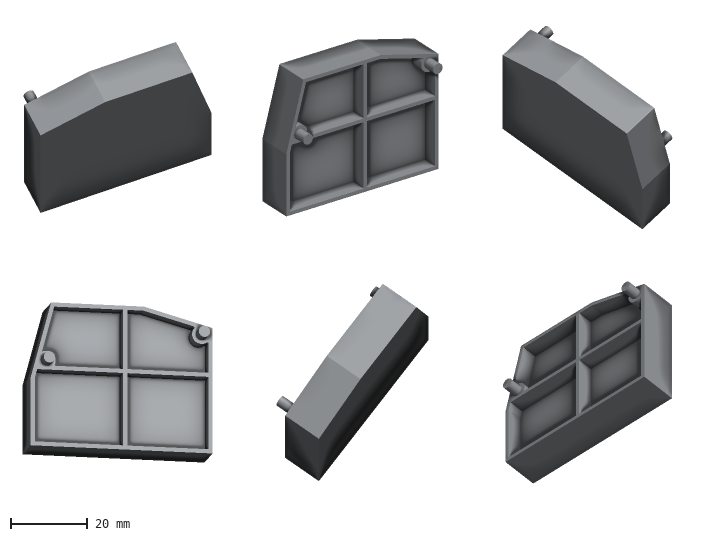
import cadquery as cq
import math

body_thickness = 10.9
body_length = 48.5
body_height = 38.5

slope_angle = math.radians(15)
rear_slope_start_z = 18.2
front_slope_length = 18.35
rear_slope_run = (body_height - rear_slope_start_z) * math.tan(slope_angle)
front_slope_drop = front_slope_length * math.tan(slope_angle)
peak_radius = 0.3

pocket_depth = 4.6
wall = 1.1
upright_rib_y = 23.3
level_rib_z = 21.02

pin_radius = 1.5
pin_length = 4.0
boss_radius = 2.5
boss_notch_radius = 0.3
match_tolerance = 0.01
front_pin = (3.0, 31.7)
rear_pin = (44.33, level_rib_z - wall / 2 + boss_radius)


def outline():
    """Side profile of the body in the YZ plane, with Y = 0 at the front."""
    return (
        cq.Workplane("YZ")
        .moveTo(0, 0)
        .lineTo(body_length, 0)
        .lineTo(body_length, rear_slope_start_z)
        .lineTo(body_length - rear_slope_run, body_height)
        .lineTo(front_slope_length, body_height)
        .lineTo(0, body_height - front_slope_drop)
        .close()
    )


def make_body():
    """Solid plate with the peak above the rear slope slightly rounded."""
    peak = (body_thickness / 2, body_length - rear_slope_run, body_height)
    body = outline().extrude(body_thickness)
    return body.edges(cq.selectors.NearestToPointSelector(peak)).fillet(peak_radius)


def make_ribs():
    """Upright and level ribs crossing the whole recess."""
    upright = cq.Workplane("XY").box(pocket_depth, wall, body_height, centered=(False, True, False))
    level = cq.Workplane("XY").box(pocket_depth, body_length, wall, centered=(False, False, True))
    return upright.translate((0, upright_rib_y, 0)).union(level.translate((0, 0, level_rib_z)))


def make_bosses():
    """Round bosses, the rear one filled out solid into the corner of slope and level rib."""
    rear_y, rear_z = rear_pin
    corner_fill = cq.Workplane("XY").box(
        pocket_depth, body_length - rear_y, rear_z - level_rib_z, centered=False
    )
    bosses = cq.Workplane("YZ").pushPoints([front_pin, rear_pin]).circle(boss_radius).extrude(pocket_depth)
    return bosses.union(corner_fill.translate((0, rear_y, level_rib_z)))


def is_boss_notch(edge):
    """True for a pocket corner where a boss meets the front wall, front slope or level rib."""
    middle = edge.Center()
    on_boss = [
        math.isclose(math.hypot(middle.y - y, middle.z - z), boss_radius, abs_tol=match_tolerance)
        for y, z in (front_pin, rear_pin)
    ]
    above_rear_pin = middle.y > upright_rib_y and middle.z > rear_pin[1]
    return any(on_boss) and not above_rear_pin


def make_pockets():
    """The four hollows left between rim, ribs and bosses, with rounded notches beside the bosses."""
    recess = outline().offset2D(-wall).extrude(pocket_depth)
    pockets = recess.cut(make_ribs()).cut(make_bosses())
    return pockets.edges("|X").filter(is_boss_notch).fillet(boss_notch_radius)


def make_pins():
    """Pins rooted at the pocket floor and standing out past the rim."""
    return (
        cq.Workplane("YZ", origin=(-pin_length, 0, 0))
        .pushPoints([front_pin, rear_pin])
        .circle(pin_radius)
        .extrude(pin_length + pocket_depth)
    )


result = make_body().cut(make_pockets()).union(make_pins())